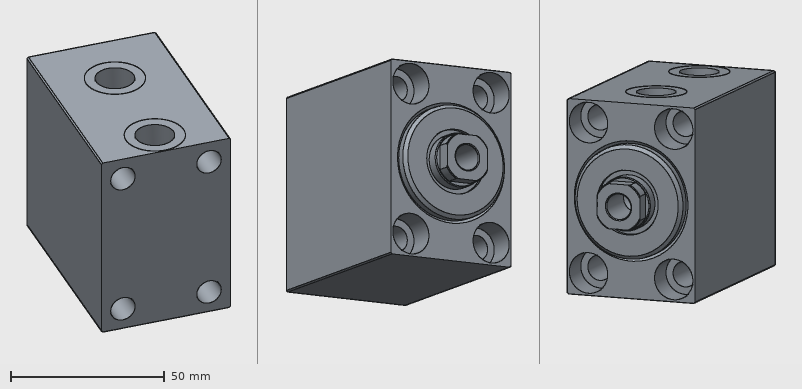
import cadquery as cq


BLOCK_LENGTH = 70.0
BLOCK_WIDTH = 45.0
BLOCK_HEIGHT = 65.0
BLOCK_FACE_X = 11.0
EDGE_CHAMFER = 0.5

BOLT_SPACING_Y = 30.0
BOLT_SPACING_Z = 50.0
BOLT_HOLE_DIAMETER = 8.5
BOLT_HEAD_DIAMETER = 13.5
BOLT_HEAD_DEPTH = 10.0

PORT_OFFSETS = (22.0, 59.5)
PORT_DIAMETER = 13.0
PORT_DEPTH = 12.0
SPOTFACE_DIAMETER = 20.0
SPOTFACE_DEPTH = 0.1
FEED_DIAMETER = 4.0

GLAND_DIAMETER = 38.0
GLAND_PROTRUSION = 3.0
GLAND_INSERTION = 12.0
GLAND_CHAMFER = 1.2
GLAND_SEAT_CHAMFER = 1.0
WIPER_RECESS_DIAMETER = 21.5
WIPER_RECESS_DEPTH = 1.5

ROD_DIAMETER = 18.0
ROD_END_MARGIN = 5.0
ROD_SHOULDER_BEVEL = 0.3
ROD_SHOULDER_BEVEL_LENGTH = 0.5
TIP_LENGTH = 5.0
TIP_DIAMETER = 17.0
TIP_ACROSS_FLATS = 15.0
TIP_CHAMFER = 0.3
ROD_HOLE_DIAMETER = 8.5
ROD_HOLE_MOUTH_DIAMETER = 9.2
ROD_HOLE_DEPTH = 15.0
ROD_HOLE_POINT_LENGTH = 2.5

GLAND_FRONT_X = BLOCK_FACE_X - GLAND_PROTRUSION
GLAND_LENGTH = GLAND_PROTRUSION + GLAND_INSERTION
ROD_END_X = BLOCK_FACE_X + max(PORT_OFFSETS) + ROD_END_MARGIN
BLOCK_TOP_Z = BLOCK_HEIGHT / 2


def cylinder(diameter, x_start, length):
    """Cylinder on the X axis."""
    return cq.Workplane("YZ", origin=(x_start, 0, 0)).circle(diameter / 2).extrude(length)


def revolve_about_x(points):
    """Body of revolution about X from (x, radius) points."""
    return cq.Workplane("XY").polyline(points).close().revolve(360, (0, 0), (1, 0))


def make_bolt_holes():
    face = cq.Workplane("YZ", origin=(BLOCK_FACE_X, 0, 0)).rect(
        BOLT_SPACING_Y, BOLT_SPACING_Z, forConstruction=True
    ).vertices()
    through_holes = face.circle(BOLT_HOLE_DIAMETER / 2).extrude(BLOCK_LENGTH)
    head_holes = face.circle(BOLT_HEAD_DIAMETER / 2).extrude(BOLT_HEAD_DEPTH)
    return through_holes.union(head_holes)


def make_port(offset):
    """Spotface, port bore and a feed drilling down to the rod bore."""
    top = cq.Workplane("XY", origin=(BLOCK_FACE_X + offset, 0, BLOCK_TOP_Z))
    spotface = top.circle(SPOTFACE_DIAMETER / 2).extrude(-SPOTFACE_DEPTH)
    bore = top.circle(PORT_DIAMETER / 2).extrude(-PORT_DEPTH)
    feed = top.circle(FEED_DIAMETER / 2).extrude(-BLOCK_TOP_Z)
    return spotface.union(bore).union(feed)


def make_gland_seat():
    """Gland pocket with a chamfered mouth."""
    radius = GLAND_DIAMETER / 2
    mouth_radius = radius + GLAND_SEAT_CHAMFER
    pocket_end_x = BLOCK_FACE_X + GLAND_INSERTION
    return revolve_about_x([
        (BLOCK_FACE_X, 0),
        (BLOCK_FACE_X, mouth_radius),
        (BLOCK_FACE_X + GLAND_SEAT_CHAMFER, radius),
        (pocket_end_x, radius),
        (pocket_end_x, 0),
    ])


def make_block():
    block = (
        cq.Workplane("XY")
        .box(BLOCK_LENGTH, BLOCK_WIDTH, BLOCK_HEIGHT)
        .translate((BLOCK_FACE_X + BLOCK_LENGTH / 2, 0, 0))
        .edges("|X")
        .chamfer(EDGE_CHAMFER)
    )
    block = block.cut(make_bolt_holes())
    for offset in PORT_OFFSETS:
        block = block.cut(make_port(offset))
    block = block.cut(make_gland_seat())
    return block.cut(cylinder(ROD_DIAMETER, BLOCK_FACE_X, ROD_END_X - BLOCK_FACE_X))


def make_gland():
    gland = cylinder(GLAND_DIAMETER, GLAND_FRONT_X, GLAND_LENGTH)
    gland = gland.faces("<X").chamfer(GLAND_CHAMFER)
    gland = gland.cut(cylinder(WIPER_RECESS_DIAMETER, GLAND_FRONT_X, WIPER_RECESS_DEPTH))
    return gland.cut(cylinder(ROD_DIAMETER, GLAND_FRONT_X, GLAND_LENGTH))


def make_rod_tip():
    """Wrench tip: a cylinder with four flats and a lightly chamfered end."""
    tip = cylinder(TIP_DIAMETER, 0, TIP_LENGTH).faces("<X").chamfer(TIP_CHAMFER)
    square = cq.Workplane("YZ").rect(TIP_ACROSS_FLATS, TIP_ACROSS_FLATS).extrude(TIP_LENGTH)
    return tip.intersect(square)


def make_rod_hole():
    """Tapping hole in the rod end with a countersunk mouth and a drill point."""
    radius = ROD_HOLE_DIAMETER / 2
    mouth_radius = ROD_HOLE_MOUTH_DIAMETER / 2
    return revolve_about_x([
        (0, 0),
        (0, mouth_radius),
        (mouth_radius - radius, radius),
        (ROD_HOLE_DEPTH, radius),
        (ROD_HOLE_DEPTH + ROD_HOLE_POINT_LENGTH, 0),
    ])


def make_rod():
    radius = ROD_DIAMETER / 2
    shank = revolve_about_x([
        (TIP_LENGTH, 0),
        (TIP_LENGTH, radius - ROD_SHOULDER_BEVEL),
        (TIP_LENGTH + ROD_SHOULDER_BEVEL_LENGTH, radius),
        (ROD_END_X, radius),
        (ROD_END_X, 0),
    ])
    return shank.union(make_rod_tip()).cut(make_rod_hole())


block = make_block()
gland = make_gland()
rod = make_rod()

result = cq.Compound.makeCompound([block.val(), gland.val(), rod.val()])